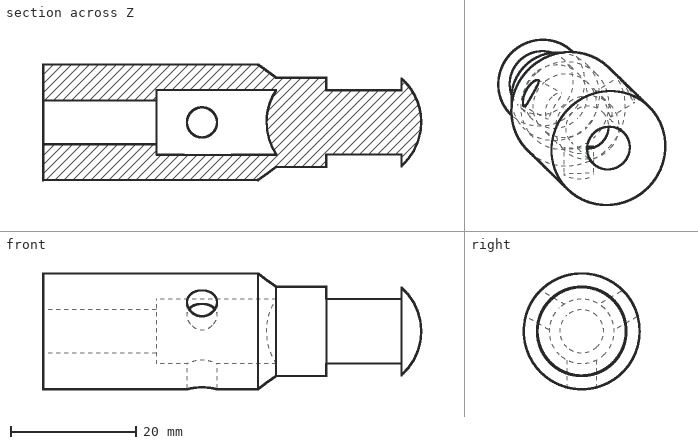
import cadquery as cq
import math

total_length = 60.3
body_diameter = 18.5
body_length = 34.25
collar_diameter = 14.3
collar_start = 37.15
collar_end = 45.2
pin_diameter = 10.3
head_diameter = 14.05
head_start = 57.1

bore_diameter = 6.95
chamber_diameter = pin_diameter
chamber_start = 18.1
chamber_end = collar_start
cross_hole_diameter = 4.75
cross_hole_x = 25.35
cross_hole_angles = (30, 150, 270)

head_height = total_length - head_start
cap_sphere_radius = ((head_diameter / 2)**2 + head_height**2) / (2 * head_height)


def cap_offset(radius):
    """Axial distance from the tip of a cap back to a given radius."""
    return cap_sphere_radius - math.sqrt(cap_sphere_radius**2 - radius**2)


def revolve_about_x(profile):
    """Solid of revolution from a half profile that starts and ends on the axis."""
    return profile.close().revolve(360, (0, 0, 0), (1, 0, 0))


def outer_solid():
    """Body, cone, collar, pin and domed head."""
    return revolve_about_x(
        cq.Workplane("XY")
        .lineTo(0, body_diameter / 2)
        .lineTo(body_length, body_diameter / 2)
        .lineTo(collar_start, collar_diameter / 2)
        .lineTo(collar_end, collar_diameter / 2)
        .lineTo(collar_end, pin_diameter / 2)
        .lineTo(head_start, pin_diameter / 2)
        .lineTo(head_start, head_diameter / 2)
        .threePointArc((total_length - cap_offset(head_diameter / 4), head_diameter / 4), (total_length, 0))
    )


def inner_cavity():
    """Narrow bore opening into a wider chamber, closed by a convex cap."""
    dome_tip = chamber_end - cap_offset(chamber_diameter / 2)
    return revolve_about_x(
        cq.Workplane("XY")
        .lineTo(0, bore_diameter / 2)
        .lineTo(chamber_start, bore_diameter / 2)
        .lineTo(chamber_start, chamber_diameter / 2)
        .lineTo(chamber_end, chamber_diameter / 2)
        .threePointArc((dome_tip + cap_offset(chamber_diameter / 4), chamber_diameter / 4), (dome_tip, 0))
    )


def cross_hole(angle):
    """One radial hole from the axis out through the body wall."""
    return (
        cq.Workplane("XY", origin=(cross_hole_x, 0, 0))
        .circle(cross_hole_diameter / 2)
        .extrude(body_diameter)
        .rotate((0, 0, 0), (1, 0, 0), angle - 90)
    )


result = outer_solid().cut(inner_cavity())
for hole_angle in cross_hole_angles:
    result = result.cut(cross_hole(hole_angle))